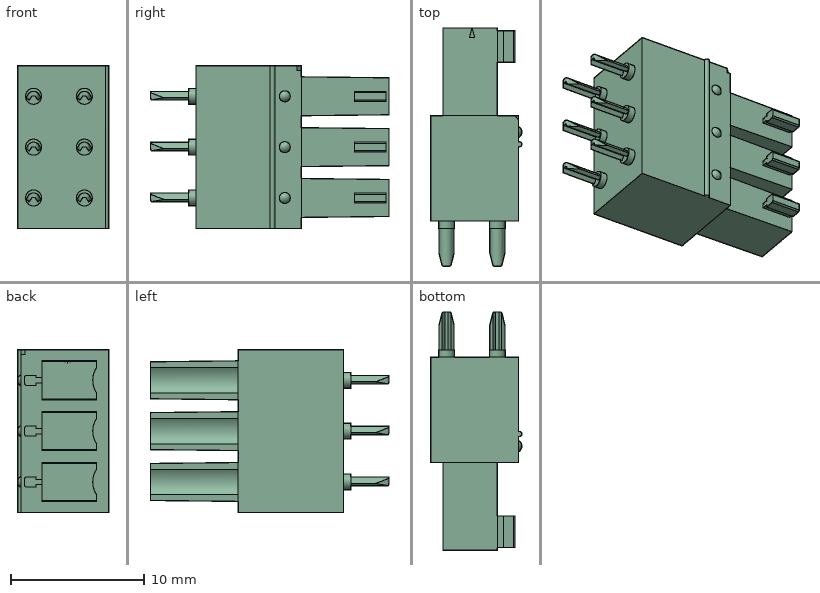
import cadquery as cq

body_width = 6.6
body_length = 7.91
body_height = 12.23
body_top = body_height / 2
notch_leg = 0.3
notch_depth = 0.35

pole_pitch = 3.81
pole_heights = [-pole_pitch, 0, pole_pitch]

tower_left = 0.93
tower_right = 5.01
tower_length = 6.59
tower_end = body_length + tower_length
tower_base_half_height = 1.47
tower_end_half_height = 1.4
groove_half_height = 0.95
groove_depth = 0.29

rib_length = 2.38
rib_end = tower_end - 0.21
rib_neck_right = 5.48
rib_right = 6.34
rib_neck_height = 0.4
rib_head_height = 0.75
rib_chamfer = 0.1

arrow_x = 3.11
arrow_width = 0.4
arrow_length = 0.73
arrow_depth = 0.1

side_projection = 0.25
ridge_y = 5.76
ridge_width = 0.4
dome_y = 6.68
dome_radius = 0.41

pin_first_x = 1.2
pin_columns = [pin_first_x, pin_first_x + pole_pitch]
pin_length = 3.4
collar_radius = 0.6
collar_length = 0.54
arch_crown_z = 0.38
arch_shoulder = (0.43, 0.1)
arch_corner = (0.57, -0.1)
arch_foot = (0.32, -0.29)
arch_inner = (0.13, 0.02)
tip_taper_length = 1.0
tip_half_width = 0.32
tip_radius = 0.2


def box(x_range, y_range, z_range):
    """Box between the given limits along each axis."""
    size = [high - low for low, high in (x_range, y_range, z_range)]
    corner = (x_range[0], y_range[0], z_range[0])
    return cq.Workplane("XY").box(*size, centered=False).translate(corner)


def make_body():
    """Block with its top corner cut away beside the towers."""
    block = box((0, body_width), (0, body_length), (-body_top, body_top))
    notch = (
        cq.Workplane("XY", origin=(body_width, body_length, body_top))
        .polyline([(0, 0), (-notch_leg, 0), (0, -notch_leg)])
        .close()
        .extrude(-notch_depth)
    )
    return block.cut(notch)


def make_tower():
    """Tapered tower with a round groove along its -X side, centred on Z = 0."""
    tower = (
        cq.Workplane("YZ", origin=(tower_left, 0, 0))
        .moveTo(body_length, -tower_base_half_height)
        .lineTo(tower_end, -tower_end_half_height)
        .lineTo(tower_end, tower_end_half_height)
        .lineTo(body_length, tower_base_half_height)
        .close()
        .extrude(tower_right - tower_left)
    )
    groove = (
        cq.Workplane("XZ", origin=(tower_left, tower_end, 0))
        .moveTo(0, -groove_half_height)
        .threePointArc((groove_depth, 0), (0, groove_half_height))
        .close()
        .extrude(tower_length)
    )
    return tower.cut(groove)


def make_rib():
    """T-shaped rib: a thin neck carrying a wider head with chamfered outer edges."""
    y_range = (rib_end - rib_length, rib_end)
    neck_half = rib_neck_height / 2
    head_half = rib_head_height / 2
    neck = box((tower_right, rib_neck_right), y_range, (-neck_half, neck_half))
    head = box((rib_neck_right, rib_right), y_range, (-head_half, head_half))
    head = head.faces(">X").edges("|Y").chamfer(rib_chamfer)
    return neck.union(head)


def make_arrow():
    """Triangular cutter pointing at the end of the topmost tower."""
    top = pole_pitch + tower_base_half_height
    floor = pole_pitch + tower_end_half_height - arrow_depth
    half_width = arrow_width / 2
    base_y = tower_end - arrow_length
    return (
        cq.Workplane("XY", origin=(arrow_x, 0, floor))
        .polyline([(0, tower_end), (-half_width, base_y), (half_width, base_y)])
        .close()
        .extrude(top - floor)
    )


def make_ridge():
    """Full-height ridge with a round nose."""
    nose_radius = ridge_width / 2
    nose_x = body_width + side_projection - nose_radius
    return (
        cq.Workplane("XY", origin=(0, ridge_y, -body_top))
        .moveTo(body_width, -nose_radius)
        .lineTo(nose_x, -nose_radius)
        .threePointArc((nose_x + nose_radius, 0), (nose_x, nose_radius))
        .lineTo(body_width, nose_radius)
        .close()
        .extrude(body_height)
    )


def make_dome():
    """Low round-topped button standing on the +X side, centred on Z = 0."""
    sphere_radius = (dome_radius**2 + side_projection**2) / (2 * side_projection)
    tip_x = body_width + side_projection
    return (
        cq.Workplane("XY")
        .moveTo(body_width, dome_y)
        .lineTo(body_width, dome_y + dome_radius)
        .radiusArc((tip_x, dome_y), sphere_radius)
        .close()
        .revolve(360, (body_width, dome_y, 0), (tip_x, dome_y, 0))
    )


def make_pin():
    """Round collar and an arch-section blade with a tapered, rounded tip, pointing along -Y."""
    collar = cq.Workplane("XZ").circle(collar_radius).extrude(collar_length)
    right_side = [arch_corner, arch_foot, arch_inner]
    left_side = [(-x, z) for x, z in reversed(right_side)]
    shoulder_x, shoulder_z = arch_shoulder
    blade = (
        cq.Workplane("XZ")
        .moveTo(-shoulder_x, shoulder_z)
        .threePointArc((0, arch_crown_z), arch_shoulder)
        .polyline(right_side + left_side, includeCurrent=True)
        .close()
        .extrude(pin_length)
    )
    half_width = arch_corner[0]
    taper_y = tip_taper_length - pin_length
    tip_envelope = (
        cq.Workplane("XY")
        .polyline([
            (-half_width, 0),
            (-half_width, taper_y),
            (-tip_half_width, -pin_length),
            (tip_half_width, -pin_length),
            (half_width, taper_y),
            (half_width, 0),
        ])
        .close()
        .extrude(collar_radius, both=True)
        .edges("|Z and <Y")
        .fillet(tip_radius)
    )
    return collar.union(blade.intersect(tip_envelope))


tower = make_tower().union(make_rib())
dome = make_dome()
pin = make_pin()

result = make_body().union(make_ridge())
for z in pole_heights:
    result = result.union(tower.translate((0, 0, z)))
    result = result.union(dome.translate((0, 0, z)))
    for x in pin_columns:
        result = result.union(pin.translate((x, 0, z)))
result = result.cut(make_arrow())